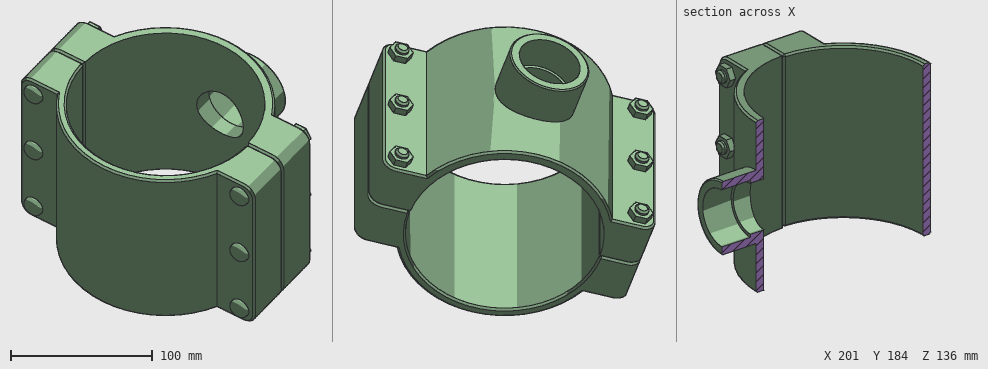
import cadquery as cq
import math

BORE_RADIUS = 70.0
SHELL_RADIUS = 77.0
CLAMP_HEIGHT = 136.0
CLAMP_WIDTH = 201.0
EAR_DEPTH = 35.0
EAR_CORNER_RADIUS = 10.0
EDGE_CHAMFER = 1.5

SOCKET_DIAMETER = 58.3
SOCKET_END_Y = 107.0
PORT_DIAMETER = 40.0
SOCKET_BORE_DIAMETER = 44.84
SOCKET_BORE_START_Y = 82.0
SOCKET_CHAMFER = 1.0

BOLT_EDGE_DISTANCE = 12.0
BOLT_DIAMETER = 10.0
BOLT_TIP_LENGTH = 8.0
BOLT_TIP_CHAMFER = 1.5
HEAD_DIAMETER = 15.0
HEAD_HEIGHT = 4.0
HEAD_ROUNDING = 3.0
NUT_ACROSS_FLATS = 15.0
NUT_HEIGHT = 5.0
NUT_ROTATION = 30.0

HALF_HEIGHT = CLAMP_HEIGHT / 2
HALF_WIDTH = CLAMP_WIDTH / 2
EAR_ROOT_X = math.sqrt(SHELL_RADIUS**2 - EAR_DEPTH**2)
BOLT_X = HALF_WIDTH - BOLT_EDGE_DISTANCE
BOLT_SPACING = HALF_HEIGHT - BOLT_EDGE_DISTANCE
TOLERANCE = 0.01


def cylinder_along_y(diameter, start_y, end_y):
    """Cylinder on the Y axis between two Y positions."""
    return (
        cq.Workplane("XZ", origin=(0, start_y, 0))
        .circle(diameter / 2)
        .extrude(start_y - end_y)
    )


def sharp_half_shell():
    """Half shell on the +Y side with its two ears, ear corners rounded."""
    outline = (
        cq.Workplane("XY", origin=(0, 0, -HALF_HEIGHT))
        .moveTo(BORE_RADIUS, 0)
        .lineTo(HALF_WIDTH, 0)
        .lineTo(HALF_WIDTH, EAR_DEPTH)
        .lineTo(EAR_ROOT_X, EAR_DEPTH)
        .threePointArc((0, SHELL_RADIUS), (-EAR_ROOT_X, EAR_DEPTH))
        .lineTo(-HALF_WIDTH, EAR_DEPTH)
        .lineTo(-HALF_WIDTH, 0)
        .lineTo(-BORE_RADIUS, 0)
        .threePointArc((0, BORE_RADIUS), (BORE_RADIUS, 0))
        .close()
    )
    half = outline.extrude(CLAMP_HEIGHT)
    return half.edges("(<X or >X) and |Y").fillet(EAR_CORNER_RADIUS)


def is_chamfered(edge, chamfer_bore_rims):
    """True for the rims of the end faces, the split faces and the ear faces."""
    box = edge.BoundingBox()
    in_end_face = box.zlen < TOLERANCE and abs(abs(box.zmin) - HALF_HEIGHT) < TOLERANCE
    in_split_face = box.ymax < TOLERANCE
    in_ear_face = box.ylen < TOLERANCE and abs(box.ymin - EAR_DEPTH) < TOLERANCE
    is_ear_root = in_ear_face and box.xlen < TOLERANCE and abs(abs(box.xmin) - EAR_ROOT_X) < TOLERANCE
    is_corner_tangent = in_end_face and box.xlen < TOLERANCE
    is_bore_rim = in_end_face and edge.geomType() == "CIRCLE" and box.ymax < BORE_RADIUS + TOLERANCE
    if is_ear_root or is_corner_tangent:
        return False
    if is_bore_rim:
        return chamfer_bore_rims
    return in_end_face or in_split_face or in_ear_face


def half_shell(chamfer_bore_rims):
    """Half shell on the +Y side with its outer edges chamfered."""
    half = sharp_half_shell()
    rims = [edge for edge in half.edges().vals() if is_chamfered(edge, chamfer_bore_rims)]
    return half.newObject(rims).chamfer(EDGE_CHAMFER)


def clamp_body():
    """Both half shells; only the -Y one has chamfered bore rims."""
    socket_half = half_shell(chamfer_bore_rims=False)
    plain_half = half_shell(chamfer_bore_rims=True).mirror("XZ")
    return socket_half.union(plain_half)


def add_branch_socket(body):
    """Adds the socket and its stepped bore; the socket reaches into the shell wall."""
    socket = cylinder_along_y(SOCKET_DIAMETER, 0, SOCKET_END_Y).faces(">Y").chamfer(SOCKET_CHAMFER)
    mid_wall_radius = (BORE_RADIUS + SHELL_RADIUS) / 2
    clamp_core = cq.Workplane("XY").circle(mid_wall_radius).extrude(HALF_HEIGHT, both=True)
    port = cylinder_along_y(PORT_DIAMETER, 0, SOCKET_END_Y)
    socket_bore = cylinder_along_y(SOCKET_BORE_DIAMETER, SOCKET_BORE_START_Y, SOCKET_END_Y)
    return body.union(socket.cut(clamp_core)).cut(port).cut(socket_bore)


def bolt_with_nut():
    """Bolt on the Y axis with its rounded head at -Y and a hexagonal nut at +Y."""
    head = cylinder_along_y(HEAD_DIAMETER, -EAR_DEPTH - HEAD_HEIGHT, -EAR_DEPTH)
    head = head.faces("<Y").edges().fillet(HEAD_ROUNDING)
    shank = cylinder_along_y(BOLT_DIAMETER, -EAR_DEPTH, EAR_DEPTH + BOLT_TIP_LENGTH)
    shank = shank.faces(">Y").chamfer(BOLT_TIP_CHAMFER)
    nut = (
        cq.Workplane("XZ", origin=(0, EAR_DEPTH, 0))
        .transformed(rotate=(0, 0, NUT_ROTATION))
        .polygon(6, NUT_ACROSS_FLATS, circumscribed=True)
        .extrude(-NUT_HEIGHT)
    )
    return head.union(shank).union(nut)


def add_bolts(body):
    """Adds three bolts in each ear."""
    bolt = bolt_with_nut()
    for x in (-BOLT_X, BOLT_X):
        for z in (-BOLT_SPACING, 0, BOLT_SPACING):
            body = body.union(bolt.translate((x, 0, z)))
    return body


result = add_bolts(add_branch_socket(clamp_body()))